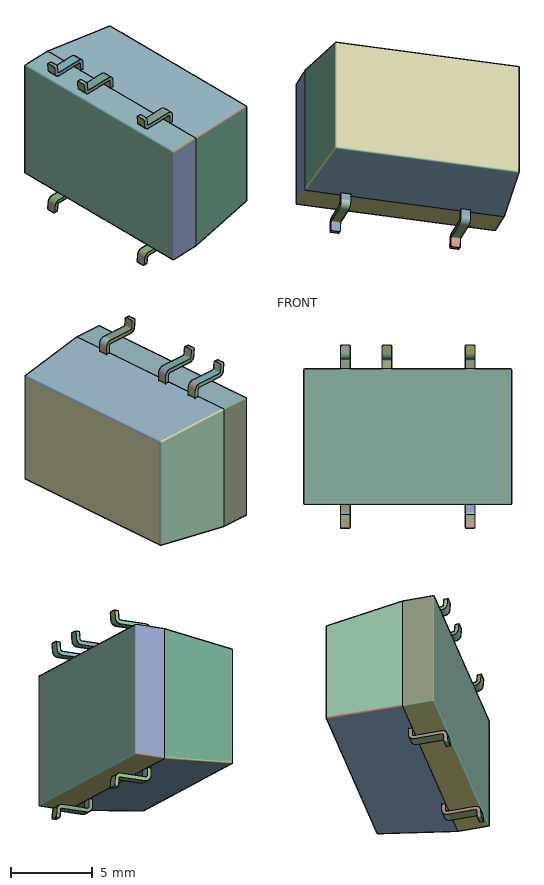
import math

import cadquery as cq

CASE_WIDTH = 12.7
CASE_HEIGHT = 8.3
CASE_STANDOFF = 0.25
FRONT_BLOCK_DEPTH = 2.0
REAR_BLOCK_DEPTH = 5.0
REAR_INSET = 0.5
CASE_EDGE_RADIUS = 0.09

PARTING_Y = CASE_STANDOFF + FRONT_BLOCK_DEPTH
TAPER_ANGLE = math.degrees(math.atan2(REAR_INSET, REAR_BLOCK_DEPTH))

PIN_THICKNESS = 0.25
PIN_WIDTH = 0.61
PIN_SPAN = 11.2
PIN_SHOULDER_SPAN = 10.0
PIN_EMBEDMENT = 1.0
SHOULDER_INNER_RADIUS = 0.15
HEEL_INNER_RADIUS = 0.1
FOOT_TILT = 5.0
FOOT_CORNER_RADIUS = 0.1

PIN_PITCH = 2.54
UPPER_PIN_XS = [-1.5 * PIN_PITCH, -0.5 * PIN_PITCH, 1.5 * PIN_PITCH]
LOWER_PIN_XS = [-1.5 * PIN_PITCH, 1.5 * PIN_PITCH]


def make_front_block():
    """Straight block with every edge rounded except those on the parting plane."""
    block = (
        cq.Workplane("XZ", origin=(0, PARTING_Y, 0))
        .rect(CASE_WIDTH, CASE_HEIGHT)
        .extrude(FRONT_BLOCK_DEPTH)
    )
    return block.edges("|Y or <Y").fillet(CASE_EDGE_RADIUS)


def make_rear_block():
    """Block that narrows towards the rear, rounded except on the parting plane."""
    block = (
        cq.Workplane("XZ", origin=(0, PARTING_Y, 0))
        .rect(CASE_WIDTH, CASE_HEIGHT)
        .extrude(-REAR_BLOCK_DEPTH, taper=TAPER_ANGLE)
    )
    return block.edges("not <Y").fillet(CASE_EDGE_RADIUS)


def make_upper_pin(x):
    """Pin leaving the top of the case: leg up, arm forward, tilted foot up to the tip."""
    tilt = math.radians(FOOT_TILT)
    arm_top = PIN_SHOULDER_SPAN / 2
    arm_bottom = arm_top - PIN_THICKNESS
    tip_z = PIN_SPAN / 2
    leg_bottom = CASE_HEIGHT / 2 - PIN_EMBEDMENT
    leg_front = PARTING_Y
    leg_back = PARTING_Y + PIN_THICKNESS

    heel_front = (tip_z - arm_bottom) * math.tan(tilt)
    foot_depth = PIN_THICKNESS / math.cos(tilt)
    instep_back = (tip_z - arm_top) * math.tan(tilt) + foot_depth

    pin = (
        cq.Workplane("YZ", origin=(x, 0, 0))
        .moveTo(leg_front, leg_bottom)
        .lineTo(leg_front, arm_bottom)
        .lineTo(heel_front, arm_bottom)
        .lineTo(0, tip_z)
        .lineTo(foot_depth, tip_z)
        .lineTo(instep_back, arm_top)
        .lineTo(leg_back, arm_top)
        .lineTo(leg_back, leg_bottom)
        .close()
        .extrude(PIN_WIDTH / 2, both=True)
    )

    def bend(body, y, z, radius):
        corner = cq.selectors.NearestToPointSelector((x, y, z))
        return body.edges("|X").edges(corner).fillet(radius)

    pin = bend(pin, leg_front, arm_bottom, SHOULDER_INNER_RADIUS)
    pin = bend(pin, leg_back, arm_top, SHOULDER_INNER_RADIUS + PIN_THICKNESS)
    pin = bend(pin, instep_back, arm_top, HEEL_INNER_RADIUS)
    pin = bend(pin, heel_front, arm_bottom, HEEL_INNER_RADIUS + PIN_THICKNESS)
    return pin.faces(">Z").edges("not |X").fillet(FOOT_CORNER_RADIUS)


upper_pins = [make_upper_pin(x) for x in UPPER_PIN_XS]
lower_pins = [make_upper_pin(x).mirror("XY") for x in LOWER_PIN_XS]
pins = upper_pins + lower_pins

front_block = make_front_block()

rear_block = make_rear_block()
for pin in pins:
    rear_block = rear_block.cut(pin)

result = cq.Compound.makeCompound([front_block.val(), rear_block.val(), *[pin.val() for pin in pins]])